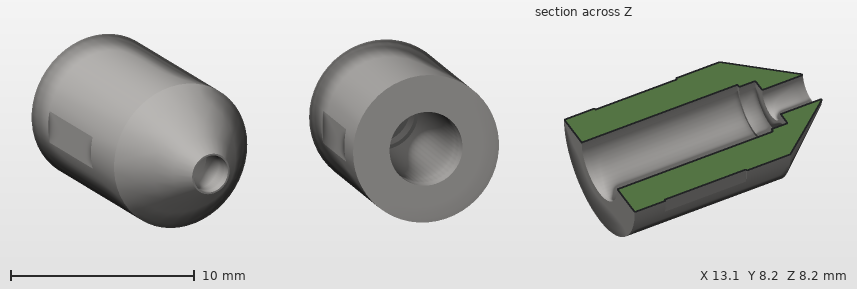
import cadquery as cq
import math

total_length = 13.11
body_diameter = 8.2
tip_diameter = 2.3
nose_angle = 40.0
nose_length = (body_diameter - tip_diameter) / 2 / math.tan(math.radians(nose_angle))
body_length = total_length - nose_length

bore_diameter = 4.1
bore_depth = body_length
seat_diameter = 3.7
seat_length = 1.0
outlet_diameter = 2.1

flat_spacing = 8.0
flat_length = 5.0
flat_start = 1.9


def make_body():
    """Solid of revolution whose half profile runs from the flat end to the tip."""
    profile = [
        (0, 0),
        (0, body_diameter / 2),
        (body_length, body_diameter / 2),
        (total_length, tip_diameter / 2),
        (total_length, 0),
    ]
    return cq.Workplane("XY").polyline(profile).close().revolve(360, (0, 0, 0), (1, 0, 0))


def cut_hole(part, diameter, depth):
    """Cut a round hole along the X axis, starting at the flat end."""
    hole = cq.Workplane("YZ").circle(diameter / 2).extrude(depth)
    return part.cut(hole)


def cut_flat(part, side):
    """Cut one flat; side is -1 for the -Y face and +1 for the +Y face."""
    cutter_height = body_diameter
    cutter_thickness = body_diameter - flat_spacing
    cutter = (
        cq.Workplane("XY")
        .box(flat_length, cutter_thickness, cutter_height)
        .translate((flat_start + flat_length / 2, side * (flat_spacing + cutter_thickness) / 2, 0))
    )
    return part.cut(cutter)


result = make_body()
result = cut_hole(result, bore_diameter, bore_depth)
result = cut_hole(result, seat_diameter, bore_depth + seat_length)
result = cut_hole(result, outlet_diameter, total_length)
for flat_side in (-1, 1):
    result = cut_flat(result, flat_side)